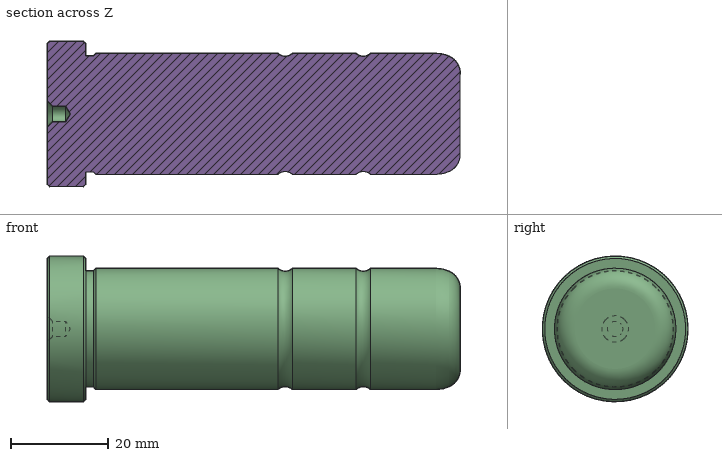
import cadquery as cq
import math

total_length = 85.0
head_length = 8.0
neck_end = 9.5
shaft_start = 10.0
lead_start = 80.0
lead_end = 82.7

head_diameter = 30.0
shaft_diameter = 25.0
neck_diameter = 24.0
head_chamfer = 0.5

groove_centres = (49.0, 65.0)
groove_width = 3.0
groove_depth = 0.6

tip_radius = 4.0

countersink_diameter = 5.4
countersink_angle = 90.0
pilot_diameter = 3.15
pilot_depth = 3.8
drill_point_angle = 118.0

head_radius = head_diameter / 2
shaft_radius = shaft_diameter / 2
neck_radius = neck_diameter / 2
AXIS_START = (0, 0, 0)
AXIS_END = (1, 0, 0)


def revolve_about_x(profile):
    return profile.close().revolve(360, AXIS_START, AXIS_END)


def arc_point(centre, radius, angle):
    """Point on an arc whose angle is measured from the +Y direction towards +X."""
    return (centre[0] + radius * math.sin(angle), centre[1] + radius * math.cos(angle))


def add_groove(profile, centre):
    """Continue the shaft line to a groove and follow its arc."""
    half_width = groove_width / 2
    return (
        profile.lineTo(centre - half_width, shaft_radius)
        .threePointArc((centre, shaft_radius - groove_depth), (centre + half_width, shaft_radius))
    )


def add_nose(profile):
    """Round the shaft end with two arcs that share a tangent where they meet."""
    join_angle = math.asin(1 - (total_length - lead_end) / tip_radius)
    lead_radius = (lead_end - lead_start) / math.sin(join_angle)
    lead_centre = (lead_start, shaft_radius - lead_radius)
    join = arc_point(lead_centre, lead_radius, join_angle)
    tip_centre = (total_length - tip_radius, join[1] - tip_radius * math.cos(join_angle))
    tip_middle_angle = (join_angle + math.pi / 2) / 2
    return (
        profile.lineTo(lead_start, shaft_radius)
        .threePointArc(arc_point(lead_centre, lead_radius, join_angle / 2), join)
        .threePointArc(
            arc_point(tip_centre, tip_radius, tip_middle_angle),
            (total_length, tip_centre[1]),
        )
    )


def make_pin():
    profile = (
        cq.Workplane("XY")
        .lineTo(0, head_radius - head_chamfer)
        .lineTo(head_chamfer, head_radius)
        .lineTo(head_length - head_chamfer, head_radius)
        .lineTo(head_length, head_radius - head_chamfer)
        .lineTo(head_length, neck_radius)
        .lineTo(neck_end, neck_radius)
        .lineTo(shaft_start, shaft_radius)
    )
    for centre in groove_centres:
        profile = add_groove(profile, centre)
    return revolve_about_x(add_nose(profile).lineTo(total_length, 0))


def make_centre_hole():
    outer_radius = countersink_diameter / 2
    pilot_radius = pilot_diameter / 2
    countersink_depth = (outer_radius - pilot_radius) / math.tan(math.radians(countersink_angle / 2))
    point_length = pilot_radius / math.tan(math.radians(drill_point_angle / 2))
    return revolve_about_x(
        cq.Workplane("XY")
        .lineTo(0, outer_radius)
        .lineTo(countersink_depth, pilot_radius)
        .lineTo(pilot_depth, pilot_radius)
        .lineTo(pilot_depth + point_length, 0)
    )


result = make_pin().cut(make_centre_hole())